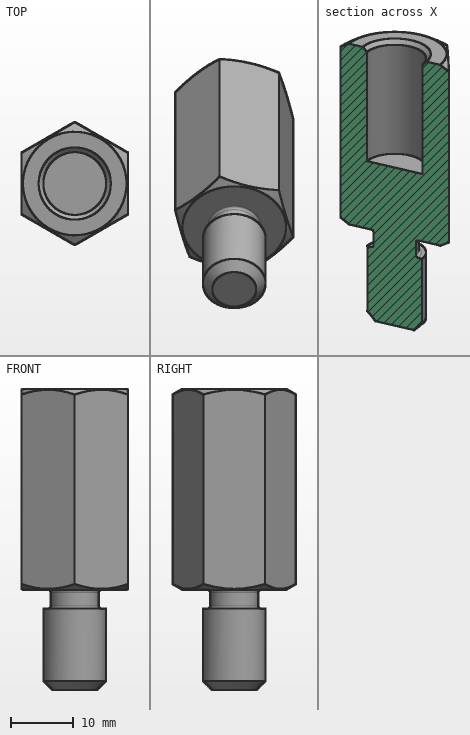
import cadquery as cq
import math

across_flats = 17.0
hex_half_angle = 30.0
across_corners = across_flats / math.cos(math.radians(hex_half_angle))
body_length = 32.0
end_face_diameter = 16.5
end_chamfer_angle = 30.0

thread_diameter = 10.0
stud_length = 16.0
tip_chamfer = 1.5

relief_diameter = 7.7
relief_length = 3.0
relief_fillet = 0.4

hole_diameter = thread_diameter
hole_depth = 2 * hole_diameter
countersink_diameter = 11.5
countersink_depth = (countersink_diameter - hole_diameter) / 2


def make_body():
    """Hexagonal prism with corners on the Y axis, both ends turned to a cone."""
    hexagon = (
        cq.Workplane("XY")
        .polygon(6, across_corners)
        .extrude(body_length)
        .rotate((0, 0, 0), (0, 0, 1), hex_half_angle)
    )
    envelope_radius = across_corners
    face_radius = end_face_diameter / 2
    cone_height = (envelope_radius - face_radius) * math.tan(math.radians(end_chamfer_angle))
    envelope = (
        cq.Workplane("XZ")
        .moveTo(0, 0)
        .lineTo(face_radius, 0)
        .lineTo(envelope_radius, cone_height)
        .lineTo(envelope_radius, body_length - cone_height)
        .lineTo(face_radius, body_length)
        .lineTo(0, body_length)
        .close()
        .revolve(axisStart=(0, 0, 0), axisEnd=(0, 1, 0))
    )
    return hexagon.intersect(envelope)


def make_stud():
    """Turned stud with a filleted relief groove at the body and a chamfered tip."""
    stud_radius = thread_diameter / 2
    relief_radius = relief_diameter / 2
    fillet_mid = relief_fillet * math.sqrt(0.5)
    fillet_center_x = relief_radius + relief_fillet
    upper_center_z = -relief_fillet
    lower_center_z = -relief_length + relief_fillet
    return (
        cq.Workplane("XZ")
        .moveTo(0, 0)
        .lineTo(fillet_center_x, 0)
        .threePointArc(
            (fillet_center_x - fillet_mid, upper_center_z + fillet_mid),
            (relief_radius, upper_center_z),
        )
        .lineTo(relief_radius, lower_center_z)
        .threePointArc(
            (fillet_center_x - fillet_mid, lower_center_z - fillet_mid),
            (fillet_center_x, -relief_length),
        )
        .lineTo(stud_radius, -relief_length)
        .lineTo(stud_radius, -stud_length + tip_chamfer)
        .lineTo(stud_radius - tip_chamfer, -stud_length)
        .lineTo(0, -stud_length)
        .close()
        .revolve(axisStart=(0, 0, 0), axisEnd=(0, 1, 0))
    )


def make_hole():
    """Cutter for the flat-bottomed hole and its conical countersink."""
    hole_radius = hole_diameter / 2
    return (
        cq.Workplane("XZ")
        .moveTo(0, body_length)
        .lineTo(countersink_diameter / 2, body_length)
        .lineTo(hole_radius, body_length - countersink_depth)
        .lineTo(hole_radius, body_length - hole_depth)
        .lineTo(0, body_length - hole_depth)
        .close()
        .revolve(axisStart=(0, 0, 0), axisEnd=(0, 1, 0))
    )


result = make_body().union(make_stud()).cut(make_hole())